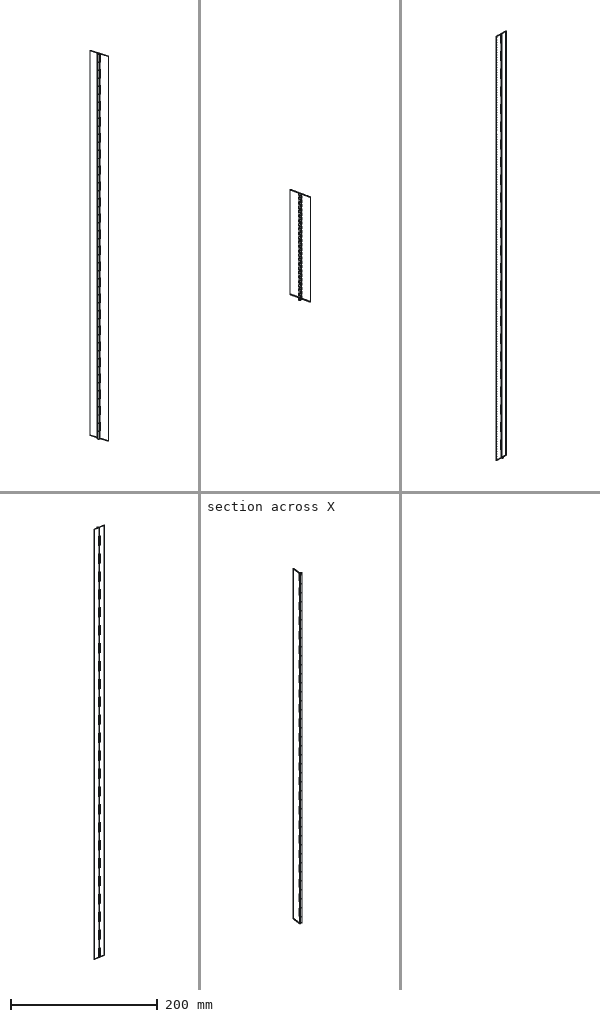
import cadquery as cq

length = 600.0
width = 30.0
knuckle_diameter = 4.0
sheet_thickness = 1.0
knuckle_count = 48

knuckle_radius = knuckle_diameter / 2
pin_radius = knuckle_radius - sheet_thickness
pitch = length / knuckle_count
half_width = width / 2

LEFT = -1
RIGHT = 1


def axis_cylinder(radius, start, height):
    """Cylinder around the hinge axis, rising from z = start."""
    return cq.Workplane("XY", origin=(0, 0, start)).circle(radius).extrude(height)


def flat_sheet(side, inner_edge, outer_edge, start, height):
    """Flat sheet between two distances from the axis, its back tangent to the knuckles."""
    middle_x = side * (inner_edge + outer_edge) / 2
    middle_y = knuckle_radius - sheet_thickness / 2
    return (
        cq.Workplane("XY", origin=(middle_x, middle_y, start))
        .rect(outer_edge - inner_edge, sheet_thickness)
        .extrude(height)
    )


def leaf(side, first_knuckle):
    """One leaf: a plate carrying every second knuckle, bored for the pin."""
    body = flat_sheet(side, knuckle_radius, half_width, 0, length)
    for index in range(first_knuckle, knuckle_count, 2):
        start = index * pitch
        web = flat_sheet(side, 0, knuckle_radius, start, pitch)
        knuckle = axis_cylinder(knuckle_radius, start, pitch)
        body = body.union(web.union(knuckle))
    return body.cut(axis_cylinder(pin_radius, 0, length)).clean()


left_leaf = leaf(LEFT, 1)
right_leaf = leaf(RIGHT, 0)
pin = axis_cylinder(pin_radius, 0, length)

result = cq.Compound.makeCompound([left_leaf.val(), right_leaf.val(), pin.val()])